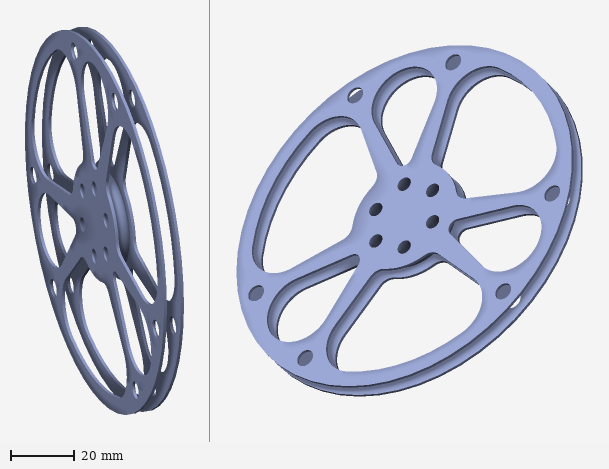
import cadquery as cq
import math

WHEEL_DIAMETER = 123.46
WHEEL_WIDTH = 6.76
FLANGE_THICKNESS = 1.0
HUB_DIAMETER = 31.5

HUB_HOLE_DIAMETER = 4.85
HUB_HOLE_CIRCLE_RADIUS = 12.06
HUB_HOLE_COUNT = 6
RIM_HOLE_DIAMETER = 5.8
RIM_HOLE_CIRCLE_RADIUS = 55.47
RIM_HOLE_OFFSET_ANGLE = 18.95

WINDOW_COUNT = 3
WINDOW_OUTER_RADIUS = 56.42

TEARDROP_OUTER_ROUND = 12.06
TEARDROP_INNER_ROUND = 2.95
TEARDROP_INNER_CENTRE = 22.2
TEARDROP_OUTER_CENTRE = WINDOW_OUTER_RADIUS - TEARDROP_OUTER_ROUND

SECTOR_INNER_RADIUS = 19.25
SECTOR_APEX = 5.55
SECTOR_HALF_ANGLE = 42.85
SECTOR_OUTER_ROUND = 11.95
SECTOR_INNER_ROUND = 4.67

WINDOW_PITCH = 360 / WINDOW_COUNT
TEARDROP_START = 0
SECTOR_START = TEARDROP_START + WINDOW_PITCH / 2


def disc(radius, y_start, thickness):
    """Disc on the wheel axis, growing towards +Y from y_start."""
    plane = cq.Workplane("XZ", origin=(0, y_start, 0))
    return plane.circle(radius).extrude(-thickness)


def full_width_plane():
    """Sketch plane on the -Y face, with local x along X and local y along Z."""
    return cq.Workplane("XZ", origin=(0, -WHEEL_WIDTH / 2, 0))


def polar_point(radius, angle):
    """Point at an angle in degrees from +Z towards +X."""
    turn = math.radians(angle)
    return (radius * math.sin(turn), radius * math.cos(turn))


def turned(shape, angle):
    """Shape turned about the wheel axis from +Z towards +X."""
    return shape.rotate((0, 0, 0), (0, 1, 0), angle)


def hole_cutter(diameter, points):
    return full_width_plane().pushPoints(points).circle(diameter / 2).extrude(-WHEEL_WIDTH)


def teardrop_window():
    """Two rounds on the +Z axis joined by their common tangent lines."""
    spacing = TEARDROP_OUTER_CENTRE - TEARDROP_INNER_CENTRE
    flank = math.asin((TEARDROP_OUTER_ROUND - TEARDROP_INNER_ROUND) / spacing)

    def tangent_point(centre, radius):
        return (radius * math.cos(flank), centre - radius * math.sin(flank))

    inner_x, inner_z = tangent_point(TEARDROP_INNER_CENTRE, TEARDROP_INNER_ROUND)
    outer_x, outer_z = tangent_point(TEARDROP_OUTER_CENTRE, TEARDROP_OUTER_ROUND)
    return (
        full_width_plane()
        .moveTo(inner_x, inner_z)
        .lineTo(outer_x, outer_z)
        .threePointArc((0, WINDOW_OUTER_RADIUS), (-outer_x, outer_z))
        .lineTo(-inner_x, inner_z)
        .threePointArc((0, TEARDROP_INNER_CENTRE - TEARDROP_INNER_ROUND), (inner_x, inner_z))
        .close()
        .extrude(-WHEEL_WIDTH)
    )


def sector_window():
    """Ring sector around +Z, with rounded corners."""
    half_angle = math.radians(SECTOR_HALF_ANGLE)

    def flank_point(radius):
        """Point where the +X flank crosses a circle about the wheel axis."""
        lean = math.asin(SECTOR_APEX * math.sin(half_angle) / radius)
        return polar_point(radius, math.degrees(half_angle - lean))

    inner_x, inner_z = flank_point(SECTOR_INNER_RADIUS)
    outer_x, outer_z = flank_point(WINDOW_OUTER_RADIUS)
    sector = (
        full_width_plane()
        .moveTo(inner_x, inner_z)
        .lineTo(outer_x, outer_z)
        .threePointArc((0, WINDOW_OUTER_RADIUS), (-outer_x, outer_z))
        .lineTo(-inner_x, inner_z)
        .threePointArc((0, SECTOR_INNER_RADIUS), (inner_x, inner_z))
        .close()
        .extrude(-WHEEL_WIDTH)
    )
    sector = sector.edges("|Y").edges(">Z").fillet(SECTOR_OUTER_ROUND)
    return sector.edges("|Y").edges("<Z").fillet(SECTOR_INNER_ROUND)


front_flange = disc(WHEEL_DIAMETER / 2, -WHEEL_WIDTH / 2, FLANGE_THICKNESS)
back_flange = disc(WHEEL_DIAMETER / 2, WHEEL_WIDTH / 2 - FLANGE_THICKNESS, FLANGE_THICKNESS)
hub = disc(HUB_DIAMETER / 2, -WHEEL_WIDTH / 2, WHEEL_WIDTH)
result = hub.union(front_flange).union(back_flange)

teardrop = teardrop_window()
sector = sector_window()
for index in range(WINDOW_COUNT):
    result = result.cut(turned(teardrop, TEARDROP_START + index * WINDOW_PITCH))
    result = result.cut(turned(sector, SECTOR_START + index * WINDOW_PITCH))

hub_hole_points = [
    polar_point(HUB_HOLE_CIRCLE_RADIUS, index * 360 / HUB_HOLE_COUNT) for index in range(HUB_HOLE_COUNT)
]
rim_hole_points = [
    polar_point(RIM_HOLE_CIRCLE_RADIUS, TEARDROP_START + index * WINDOW_PITCH + offset)
    for index in range(WINDOW_COUNT)
    for offset in (-RIM_HOLE_OFFSET_ANGLE, RIM_HOLE_OFFSET_ANGLE)
]
result = result.cut(hole_cutter(HUB_HOLE_DIAMETER, hub_hole_points))
result = result.cut(hole_cutter(RIM_HOLE_DIAMETER, rim_hole_points))